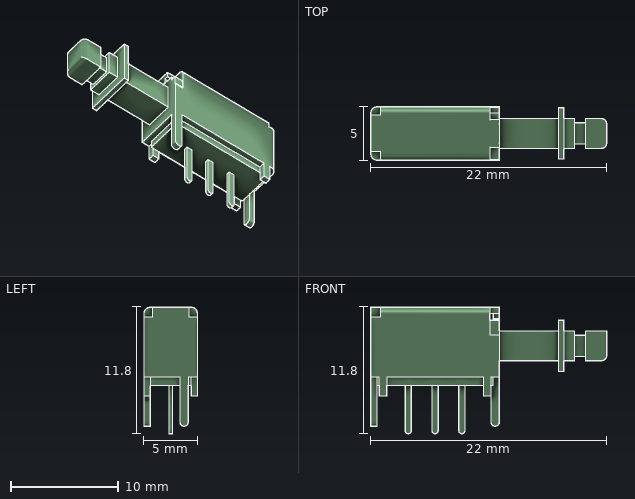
import cadquery as cq


cover_length = 12.0
cover_width = 5.0
cover_height = 6.5
sheet = 0.6
half_width = cover_width / 2
inner_half_width = half_width - sheet

relief_length = 0.9
relief_width = 0.8
relief_depth = 0.9

mouth_length = 0.9
mouth_start = cover_length - mouth_length
mouth_bottom = 3.9
tongue_width = 2.6
hook_width = 1.8
hook_bottom = 5.4

guide_width = 4.88
guide_top = 5.3
guide_step_depth = 0.4

base_depth = 0.8

short_leg_width = 0.7
short_leg_length = 1.8
short_leg_inset = 0.8
long_leg_width = 0.8
long_leg_length = 4.6
end_leg_y = -1.25

pin_width = 0.6
pin_thickness = 0.35
pin_length = 5.3
pin_pitch = 2.5
pin_count = 3

plunger_z = 2.9
shaft_size = 2.8
shaft_end = 19.0
flange_size = 4.8
flange_start = 17.5
flange_thickness = 0.5
neck_size = 2.0
neck_length = 1.0
knob_length = 2.0
knob_radius = 0.5


def block(x_range, y_range, z_range):
    """Axis-aligned box between the given limits."""
    (x0, x1), (y0, y1), (z0, z1) = x_range, y_range, z_range
    return cq.Workplane("XY").box(x1 - x0, y1 - y0, z1 - z0, centered=False).translate((x0, y0, z0))


def centred(size):
    """Limits of a span of this size about zero."""
    return (-size / 2, size / 2)


def round_tipped(plane, width, length, thickness, top):
    """Flat strip that hangs down from Z = top to Z = -length and ends in a half circle."""
    radius = width / 2
    return (
        cq.Workplane(plane)
        .moveTo(-radius, top)
        .lineTo(-radius, radius - length)
        .threePointArc((0, -length), (radius, radius - length))
        .lineTo(radius, top)
        .close()
        .extrude(thickness / 2, both=True)
    )


def make_cover():
    cover = block((0, cover_length), centred(cover_width), (0, cover_height))
    cover = cover.edges("|Z and <X").fillet(sheet)
    side_bends = (
        cq.Workplane("YZ")
        .rect(cover_width, 2 * cover_height)
        .extrude(cover_length)
        .edges("|X and >Z")
        .fillet(sheet)
    )
    cover = cover.intersect(side_bends)

    for side in (-1, 1):
        y_relief = sorted((side * (half_width - relief_width), side * half_width))
        z_relief = (cover_height - relief_depth, cover_height)
        cover = cover.cut(block((0, relief_length), y_relief, z_relief))
    return cover


def make_mouth():
    """Open end: what stands between the cut-back walls, as one piece."""
    x_mouth = (mouth_start, cover_length)
    tongue = block(x_mouth, centred(tongue_width), (cover_height - sheet, cover_height))
    hook = block(
        (cover_length - sheet, cover_length),
        centred(hook_width),
        (hook_bottom, cover_height - sheet),
    )
    guide = block(x_mouth, centred(guide_width), (mouth_bottom, guide_top))
    step = block(
        x_mouth,
        (inner_half_width, guide_width / 2),
        (guide_top - guide_step_depth, guide_top),
    )
    return tongue.union(hook).union(guide.cut(step))


def make_housing():
    cut_back = block(
        (mouth_start, cover_length), centred(cover_width), (mouth_bottom, cover_height)
    )
    housing = make_cover().cut(cut_back).union(make_mouth())

    housing = housing.union(
        block((sheet, cover_length - sheet), centred(2 * inner_half_width), (-base_depth, 0))
    )

    near_x = short_leg_inset
    far_x = cover_length - short_leg_inset - short_leg_width
    front_wall = (-half_width, -inner_half_width)
    back_wall = (inner_half_width, half_width)
    for x, wall in ((near_x, front_wall), (near_x, back_wall), (far_x, front_wall)):
        leg = block((x, x + short_leg_width), wall, (-short_leg_length, sheet))
        housing = housing.union(leg)

    end_leg = round_tipped("YZ", long_leg_width, long_leg_length, sheet, sheet)
    housing = housing.union(end_leg.translate((sheet / 2, end_leg_y, 0)))
    wall_leg = round_tipped("XZ", long_leg_width, long_leg_length, sheet, sheet)
    wall_leg_x = cover_length - long_leg_width / 2
    housing = housing.union(wall_leg.translate((wall_leg_x, half_width - sheet / 2, 0)))

    pin = round_tipped("XZ", pin_width, pin_length, pin_thickness, 0)
    first_pin_x = cover_length / 2 - pin_pitch * (pin_count - 1) / 2
    for index in range(pin_count):
        housing = housing.union(pin.translate((first_pin_x + index * pin_pitch, 0, 0)))
    return housing


def square_bar(start, length, size):
    """Square bar along X on the plunger axis."""
    return cq.Workplane("YZ", origin=(start, 0, plunger_z)).rect(size, size).extrude(length)


def make_plunger():
    knob_start = shaft_end + neck_length
    knob = square_bar(knob_start, knob_length, shaft_size)
    knob = knob.faces(">X").edges("|Z or <Z").fillet(knob_radius)
    shaft = square_bar(cover_length, shaft_end - cover_length, shaft_size)
    flange = square_bar(flange_start, flange_thickness, flange_size)
    neck = square_bar(shaft_end, neck_length, neck_size)
    return shaft.union(flange).union(neck).union(knob)


housing = make_housing()
plunger = make_plunger()
result = cq.Compound.makeCompound([housing.val(), plunger.val()])